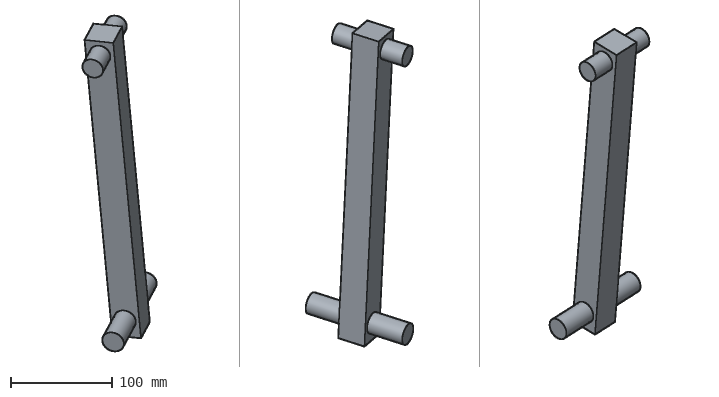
import cadquery as cq

bar_width = 30.0
bar_length = 350.0
lean_angle = 4.7
pin_heading = -51.2

upper_pin_diameter = 21.5
upper_pin_length = 79.7
upper_pin_from_end = 15.8

lower_pin_diameter = 22.5
lower_pin_length = 109.5
lower_pin_from_end = 20.0


def make_pin(diameter, length, height):
    """Pin along X, centred on the bar axis at the given height."""
    return (
        cq.Workplane("YZ")
        .center(0, height)
        .circle(diameter / 2)
        .extrude(length / 2, both=True)
    )


bar = cq.Workplane("XY").box(bar_width, bar_width, bar_length)
upper_pin = make_pin(upper_pin_diameter, upper_pin_length, bar_length / 2 - upper_pin_from_end)
lower_pin = make_pin(lower_pin_diameter, lower_pin_length, lower_pin_from_end - bar_length / 2)
upright = bar.union(upper_pin).union(lower_pin)

leaning = upright.rotate((0, 0, 0), (1, 0, 0), lean_angle)
result = leaning.rotate((0, 0, 0), (0, 0, 1), pin_heading)